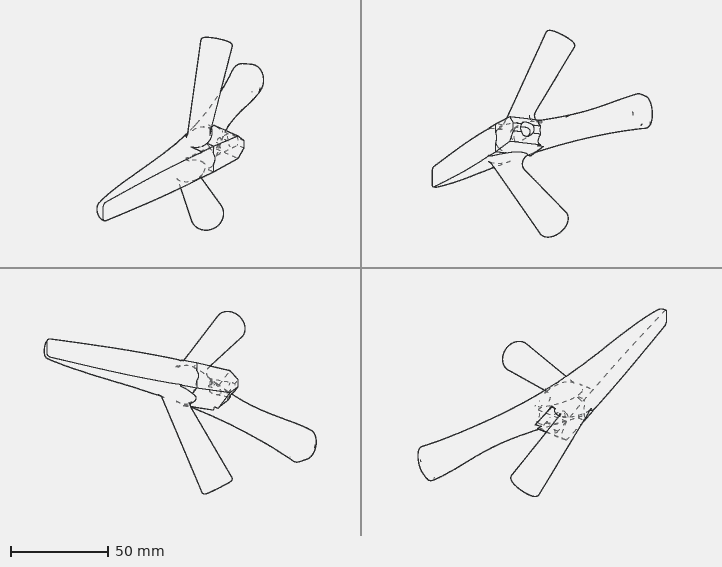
import cadquery as cq
import math


STEM_SECTIONS = [
    ((-5.1, 0.0), (20.4, 0.0), 10.7, 0.62),
    ((-12.6, 31.2), (15.3, 35.3), 14.0, 0.52),
    ((-18.5, 62.4), (9.0, 67.2), 15.0, 0.46),
    ((-26.5, 91.0), (-8.2, 95.3), 13.6, 0.38),
    ((-38.6, 120.7), (-26.8, 125.8), 12.8, 0.3),
    ((-57.0, 155.5), (-42.7, 165.0), 17.7, 0.25),
]
STEM_END_FILLET = 2.0
NOSE_FILLET = 2.3

UPPER_BRANCH = {"tip": (-24.6, 110.9, 49.3), "slope": (-0.33, 0.7), "tip_d": 16.8, "root_d": 9.9}
LOWER_BRANCH = {"tip": (-24.1, 103.3, -49.5), "slope": (-0.39, 0.78), "tip_d": 17.5, "root_d": 9.0}
BRANCH_TIP_FILLET = 1.6
BRANCH_ROOT_FILLET = 5.0
ROOT_ZONE = ((-18.0, 62.4, 5.0), (1.6, 90.3, 9.9))

BLOCK_BOTTOM_Y = 82.5
BLOCK_TOP_Y = 105.1
BLOCK_CHAMFER = 4.5
BLOCK_BOTTOM_HEIGHT = 15.0
BLOCK_SHOULDER_HEIGHT = 13.1
BLOCK_DEPTH = 19.7
WEB_BOTTOM_Y = 73.9
WEB_DEPTH = 12.3
SCREW_HOLE_D = 7.5
SCREW_HOLE_DEPTH = 13.1
SCREW_HOLE_X = -7.9

SPACE = 492.7


def stem_section(near, far, height, strip_share):
    """Upright section with flat strips above and below and a half ellipse at each side."""
    width = math.dist(near, far)
    strip_half = width * strip_share / 2
    top = height / 2
    side_reach = width / 2 - strip_half
    across = cq.Vector(far[0] - near[0], far[1] - near[1], 0)
    along = cq.Vector(0, 0, 1).cross(across)
    centre = ((near[0] + far[0]) / 2, (near[1] + far[1]) / 2, 0)
    return (
        cq.Workplane(cq.Plane(origin=centre, xDir=across, normal=along))
        .moveTo(-strip_half, top)
        .lineTo(strip_half, top)
        .ellipseArc(side_reach, top, -90, 90, sense=-1)
        .lineTo(-strip_half, -top)
        .ellipseArc(side_reach, top, 90, 270, sense=-1)
        .close()
        .val()
    )


def make_stem():
    """Stem lofted through its sections, cut flat at the wall and rounded at both ends."""
    room_side = cq.Workplane("XY").box(SPACE, SPACE, SPACE).translate((-SPACE / 2, 0, 0))
    full_stem = cq.Workplane(cq.Solid.makeLoft([stem_section(*section) for section in STEM_SECTIONS]))
    stem = full_stem.intersect(room_side)
    nose_edges = stem.faces("<Y").edges("not >X")
    stem = nose_edges.fillet(NOSE_FILLET)
    return stem.faces(">Y").edges().fillet(STEM_END_FILLET)


def make_branch(tip, slope, tip_d, root_d):
    """Cone from the mid plane Z = 0 out to a rounded tip."""
    height = tip[2]
    rise = abs(height)
    root = (tip[0] - slope[0] * rise, tip[1] - slope[1] * rise, 0)
    axis = cq.Vector(*tip) - cq.Vector(*root)
    cone = cq.Solid.makeCone(root_d / 2, tip_d / 2, axis.Length, cq.Vector(*root), axis)
    tip_edge = max(cone.Edges(), key=lambda edge: abs(edge.Center().z))
    return cq.Workplane(cone.fillet(BRANCH_TIP_FILLET, [tip_edge]))


def make_web():
    """Short fill between the stem and the wall, below the mounting block."""
    return cq.Workplane("XY").box(
        WEB_DEPTH, BLOCK_BOTTOM_Y - WEB_BOTTOM_Y, BLOCK_BOTTOM_HEIGHT, centered=(False, False, True)
    ).translate((-WEB_DEPTH, WEB_BOTTOM_Y, 0))


def join_branch(stem, branch):
    """Unite a branch with the stem and round the corner where it leaves the stem."""
    side = math.copysign(1, branch["tip"][2])
    (x_min, y_min, z_min), (x_max, y_max, z_max) = ROOT_ZONE
    root_edges = cq.selectors.BoxSelector(
        (x_min, y_min, side * z_min), (x_max, y_max, side * z_max), boundingbox=True
    )
    return stem.union(make_branch(**branch)).edges(root_edges).fillet(BRANCH_ROOT_FILLET)


def make_hook():
    hook = make_stem()
    for branch in (UPPER_BRANCH, LOWER_BRANCH):
        hook = join_branch(hook, branch)
    return hook.union(make_web())


def make_mounting_block(hook):
    """Tapered block with a chamfered top and a screw hole, fitted against the hook."""
    shoulder_y = BLOCK_TOP_Y - BLOCK_CHAMFER
    top_half = BLOCK_SHOULDER_HEIGHT / 2 - BLOCK_CHAMFER
    upper_side = [
        (BLOCK_BOTTOM_Y, BLOCK_BOTTOM_HEIGHT / 2),
        (shoulder_y, BLOCK_SHOULDER_HEIGHT / 2),
        (BLOCK_TOP_Y, top_half),
    ]
    lower_side = [(y, -z) for y, z in reversed(upper_side)]
    block = cq.Workplane("YZ").polyline(upper_side + lower_side).close().extrude(-BLOCK_DEPTH)
    hole = cq.Workplane(
        cq.Solid.makeCylinder(
            SCREW_HOLE_D / 2,
            SCREW_HOLE_DEPTH,
            cq.Vector(SCREW_HOLE_X, BLOCK_TOP_Y, 0),
            cq.Vector(0, -1, 0),
        )
    )
    pieces = block.cut(hook).cut(hole)
    return pieces.solids(">X")


hook = make_hook()
mounting_block = make_mounting_block(hook)

result = cq.Compound.makeCompound([hook.val(), mounting_block.val()])